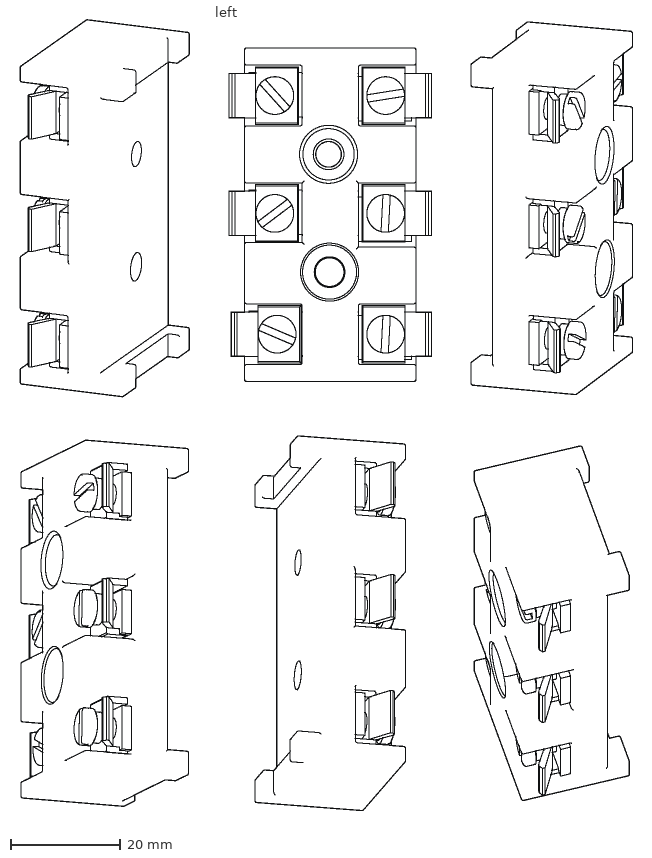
import cadquery as cq
HEIGHT = 61.1
DEPTH = 20.65
WIDTH = 31.4
EDGE_ROUND = 0.4

FOOT_HEIGHT = 4.5
BACK_X = 16.5
RAIL_SLOT_X = 18.6
RAIL_SLOT_LOW_Y = -9.45
RAIL_SLOT_HIGH_Y = 10.3

POCKET_FLOOR_X = 9.5
POCKET_INNER_Y = 5.15
END_POCKET_HEIGHT = 11.1
END_POCKET_ROUND = 0.4
MIDDLE_POCKET_TOP = 36.35
MIDDLE_POCKET_BOTTOM = {1: 25.5, -1: 24.6}

TUNNEL_X = 7.0

BORE_DEPTH = POCKET_FLOOR_X
UPPER_HOLE = dict(y=0.3, z=41.6, bore=9.4, mouth=10.6, drill=4.65, lead=5.6)
LOWER_HOLE = dict(y=0.1, z=20.05, bore=9.9, mouth=10.6, drill=5.25, lead=5.6)

CLAMP_X = 5.1
CLAMP_WIDTH = 7.9
CLAMP_INSET = 0.4
CLAMP_BEVEL = 0.25
CLAMP_HEIGHT = 10.5
CLAMP_LEG_END_X = 9.2
SHEET = 1.35
TAB_HEIGHT = 8.1
TAB_REACH_Y = 18.6
TAB_TIP_X = 2.7
TAB_TIP_BEVEL_X = 0.4
TAB_TIP_BEVEL_Y = 0.6
TAB_TIP_FLAT = 0.5
BAR_X = 7.65
BAR_END_Y = 14.9
BAR_HEIGHT = 8.1

HEAD_X = 1.4
HEAD_DIAMETER = 6.9
HEAD_THICKNESS = 1.95
HEAD_ROUND = 0.35
COLLAR_DIAMETER = 5.75
COLLAR_GAP = 0.25
SHANK_DIAMETER = 4.1
SLOT_WIDTH = 1.35
SLOT_DEPTH = 1.2

SCREW_Y = 10.15
TAB_ROOT_Y = SCREW_Y - CLAMP_INSET + CLAMP_WIDTH / 2
INSET_SCREW_Y = 9.7
ROW_Z = {"low": 8.7, "middle": 30.8, "high": 52.35}

TERMINALS = [
    ("high", 1, SCREW_Y, 48.0, 0.2),
    ("high", -1, SCREW_Y, -9.0, -0.6),
    ("middle", 1, SCREW_Y, -37.0, 0.2),
    ("middle", -1, SCREW_Y, 93.0, -1.05),
    ("low", 1, INSET_SCREW_Y, 23.0, 0.2),
    ("low", -1, SCREW_Y, 93.0, -0.6),
]


def block(x_range, y_range, z_range):
    """Box between the given limits on each axis."""
    sizes = [high - low for low, high in (x_range, y_range, z_range)]
    corner = (x_range[0], y_range[0], z_range[0])
    return cq.Workplane("XY").box(*sizes, centered=False).translate(corner)


def centered_range(middle, size):
    return (middle - size / 2, middle + size / 2)


def cylinder(diameter, y, z, x_start, x_end):
    """Cylinder along X."""
    base = cq.Workplane("YZ", origin=(x_start, y, z))
    return base.circle(diameter / 2).extrude(x_end - x_start)


def cone(start_diameter, end_diameter, y, z, x_start, x_end):
    """Cone frustum along X."""
    start = cq.Workplane("YZ", origin=(x_start, y, z)).circle(start_diameter / 2)
    return start.workplane(offset=x_end - x_start).circle(end_diameter / 2).loft()


def pocket(row, side):
    """Volume of one pocket; those of the end rows have rounded inner corners."""
    if row == "middle":
        z_range = (MIDDLE_POCKET_BOTTOM[side], MIDDLE_POCKET_TOP)
    else:
        z_range = centered_range(ROW_Z[row], END_POCKET_HEIGHT)
    y_range = sorted((side * POCKET_INNER_Y, side * WIDTH))
    volume = block((-DEPTH, POCKET_FLOOR_X), y_range, z_range)
    if row != "middle":
        inner_wall = "<Y" if side > 0 else ">Y"
        volume = volume.edges(f"({inner_wall}) or (>X)").fillet(END_POCKET_ROUND)
    return volume


def mounting_hole(y, z, bore, mouth, drill, lead):
    """Counterbored hole with a countersunk lip at the mouth and on the bore floor."""
    lip = (mouth - bore) / 2
    drill_lip = (lead - drill) / 2
    hole = cylinder(drill, y, z, 0, DEPTH)
    hole = hole.union(cylinder(bore, y, z, 0, BORE_DEPTH))
    hole = hole.union(cone(mouth, bore, y, z, 0, lip))
    return hole.union(cone(lead, drill, y, z, BORE_DEPTH, BORE_DEPTH + drill_lip))


def housing():
    y_range = centered_range(0, WIDTH)
    body = block((0, DEPTH), y_range, (0, HEIGHT))
    body = body.cut(block((BACK_X, DEPTH), y_range, (FOOT_HEIGHT, HEIGHT - FOOT_HEIGHT)))
    body = body.cut(block((RAIL_SLOT_X, DEPTH), (RAIL_SLOT_LOW_Y, RAIL_SLOT_HIGH_Y), (0, HEIGHT)))
    for row, side, *_ in TERMINALS:
        body = body.cut(pocket(row, side))
    body = body.faces("<X or >X or <Y or >Y or <Z or >Z").edges().fillet(EDGE_ROUND)
    for z in ROW_Z.values():
        tunnel_y = centered_range(0, 2 * POCKET_INNER_Y)
        body = body.cut(block((TUNNEL_X, POCKET_FLOOR_X), tunnel_y, centered_range(z, TAB_HEIGHT)))
    for hole in (UPPER_HOLE, LOWER_HOLE):
        body = body.cut(mounting_hole(**hole))
    return body


def clamp(screw_y, z):
    """U-shaped clamp with its legs toward the pocket floor."""
    y_range = centered_range(screw_y - CLAMP_INSET, CLAMP_WIDTH)
    shape = block((CLAMP_X, CLAMP_LEG_END_X), y_range, centered_range(z, CLAMP_HEIGHT))
    opening = block((CLAMP_X + SHEET, DEPTH), y_range, centered_range(z, TAB_HEIGHT))
    bevelled = shape.faces("<X").edges("|Y or <Y").chamfer(CLAMP_BEVEL)
    return bevelled.cut(opening)


def tab(screw_y, z):
    """Tab with a bevelled tip, bent outward and forward from the outer edge of the clamp sheet."""
    inner_tip_x = TAB_TIP_X + TAB_TIP_BEVEL_X
    bevel_y = TAB_REACH_Y - TAB_TIP_BEVEL_Y
    outline = [
        (CLAMP_X, TAB_ROOT_Y),
        (TAB_TIP_X, bevel_y - TAB_TIP_FLAT),
        (TAB_TIP_X, bevel_y),
        (inner_tip_x, TAB_REACH_Y),
        (inner_tip_x + TAB_TIP_FLAT, TAB_REACH_Y),
        (CLAMP_X + SHEET, TAB_ROOT_Y),
    ]
    base = cq.Workplane("XY", origin=(0, screw_y - SCREW_Y, z - TAB_HEIGHT / 2))
    return base.polyline(outline).close().extrude(TAB_HEIGHT)


def screw(y, z, slot_angle):
    head_end = HEAD_X + HEAD_THICKNESS
    head = cylinder(HEAD_DIAMETER, y, z, HEAD_X, head_end).faces("<X").edges().fillet(HEAD_ROUND)
    slot = cq.Workplane("XY").box(2 * SLOT_DEPTH, 2 * HEAD_DIAMETER, SLOT_WIDTH)
    slot = slot.rotate((0, 0, 0), (1, 0, 0), slot_angle).translate((HEAD_X, y, z))
    collar = cylinder(COLLAR_DIAMETER, y, z, head_end + COLLAR_GAP, CLAMP_X)
    shank = cylinder(SHANK_DIAMETER, y, z, head_end, POCKET_FLOOR_X)
    return head.cut(slot).union(collar).union(shank)


def contact_bar(side, z):
    """Half of the bar that lies on the pocket floors and runs through the tunnel."""
    y_range = sorted((0, side * BAR_END_Y))
    return block((BAR_X, POCKET_FLOOR_X), y_range, centered_range(z, BAR_HEIGHT))


def terminal(row, side, y, slot_angle, bar_rise):
    z = ROW_Z[row]
    clamp_and_tab = clamp(y, z).union(tab(y, z))
    if side < 0:
        clamp_and_tab = clamp_and_tab.mirror("XZ")
    bar = contact_bar(side, z + bar_rise)
    return clamp_and_tab.union(bar).union(screw(side * y, z, slot_angle))


result = housing()
for terminal_placement in TERMINALS:
    result = result.union(terminal(*terminal_placement))